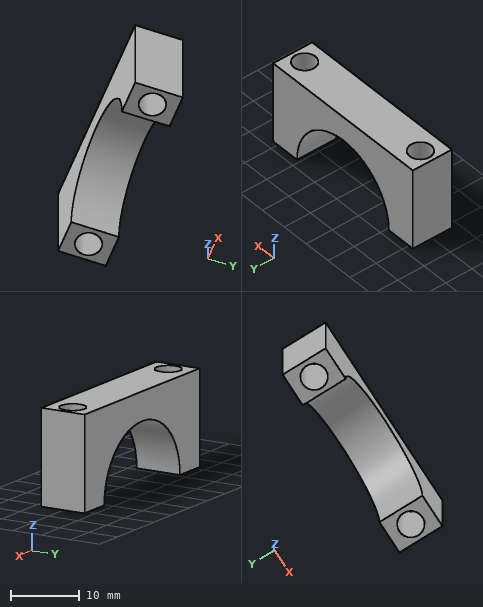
import cadquery as cq

length = 32.0
width = 7.5
height = 15.0

saddle_radius = 10.5

bolt_hole_diameter = 4.0
bolt_spacing = 26.5


def make_block():
    """Plain block, centred in X and Y, standing on Z = 0."""
    return cq.Workplane("XY").box(length, width, height, centered=(True, True, False))


def make_saddle():
    """Cylinder along Y with its axis on the bottom face."""
    back_face = cq.Workplane("XZ", origin=(0, width / 2, 0))
    return back_face.circle(saddle_radius).extrude(width)


def make_bolt_holes():
    """Pair of vertical cylinders, symmetric about the middle of the block."""
    hole_centers = [(side * bolt_spacing / 2, 0) for side in (-1, 1)]
    return cq.Workplane("XY").pushPoints(hole_centers).circle(bolt_hole_diameter / 2).extrude(height)


result = make_block().cut(make_saddle()).cut(make_bolt_holes())